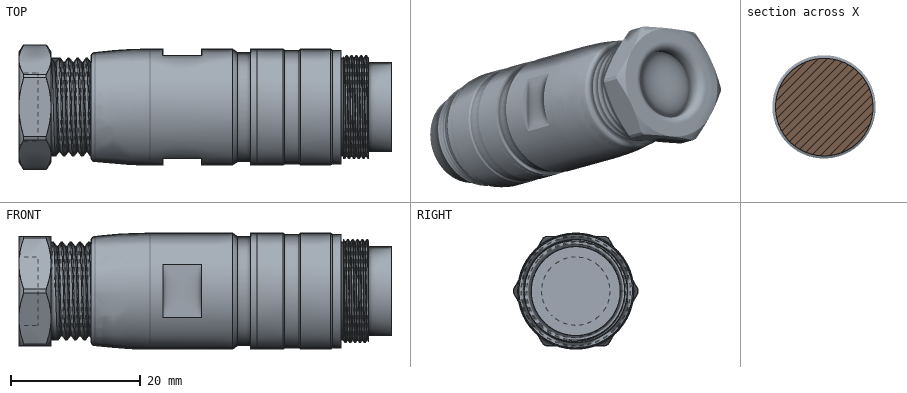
import cadquery as cq
import math

total_length = 57.8

nut_across_flats = 17.0
nut_corner_diameter = 19.3
nut_thickness = 5.0
nut_face_diameter = 17.0
nut_chamfer_length = 0.75

bore_mouth_diameter = 12.8
bore_diameter = 10.6
bore_depth = 3.0
bore_lip_radius = (bore_mouth_diameter - bore_diameter) / 2

clamp_major_diameter = 15.2
clamp_minor_diameter = 13.86
clamp_pitch = 1.41
clamp_groove_start = 5.6
clamp_overrun = 1.0
clamp_crest_width = 0.2
clamp_root_width = 0.2

body_diameter = 18.0
body_start = 11.2
nose_diameter = 16.9
nose_edge_radius = 0.6
taper_end = 20.3
body_chamfer_start = 33.1
body_end = 33.9
neck_diameter = 16.9

flats_width = 16.0
flat_start = 22.35
flat_end = 28.35

ring_start = 35.95
ring_lip_end = 36.95
ring_lip_diameter = 17.96
ring_band_end = 40.95
second_band_start = 43.7
second_band_end = 48.35
ring_end = 49.95
ring_groove_diameter = 17.6
ring_bevel_length = 0.25

mating_major_diameter = 16.0
mating_minor_diameter = 15.2
mating_pitch = 0.75
mating_crest_width = 0.1
mating_root_width = 0.1
mating_start = 50.3
mating_overrun = 0.6
mating_end = 54.2
spigot_diameter = 13.8


def cylinder(start, end, diameter):
    """Round bar along X from start to end."""
    return cq.Workplane("YZ").workplane(offset=start).circle(diameter / 2).extrude(end - start)


def cut_thread(bar, start, end, major, minor, pitch, crest_width, root_width):
    """Cut a right-handed helical groove into a bar along X; the groove starts centred on the +Y side."""
    clearance = 0.2
    major_radius = major / 2
    minor_radius = minor / 2
    root_half = root_width / 2
    mouth_half = (pitch - crest_width) / 2
    helix = cq.Wire.makeHelix(pitch, end - start, major_radius)
    groove = (
        cq.Workplane("XZ")
        .moveTo(minor_radius, -root_half)
        .lineTo(major_radius, -mouth_half)
        .lineTo(major_radius + clearance, -mouth_half)
        .lineTo(major_radius + clearance, mouth_half)
        .lineTo(major_radius, mouth_half)
        .lineTo(minor_radius, root_half)
        .close()
        .sweep(cq.Workplane(helix), isFrenet=True)
        .rotate((0, 0, 0), (0, 1, 0), 90)
        .rotate((0, 0, 0), (1, 0, 0), 90)
        .translate((start, 0, 0))
    )
    return bar.cut(groove)


def make_nut():
    """Hexagon whose corners are turned down and chamfered at both faces."""
    hexagon_diameter = nut_across_flats / math.cos(math.pi / 6)
    hexagon = cq.Workplane("YZ").polygon(6, hexagon_diameter).extrude(nut_thickness)
    face_radius = nut_face_diameter / 2
    corner_radius = nut_corner_diameter / 2
    envelope = (
        cq.Workplane("XY")
        .polyline([
            (0, 0),
            (0, face_radius),
            (nut_chamfer_length, corner_radius),
            (nut_thickness - nut_chamfer_length, corner_radius),
            (nut_thickness, face_radius),
            (nut_thickness, 0),
        ])
        .close()
        .revolve(360, (0, 0, 0), (1, 0, 0))
    )
    return hexagon.intersect(envelope)


def make_bore():
    """Blind bore whose mouth is rounded by a quarter-circle lip."""
    bore_radius = bore_diameter / 2
    mouth_radius = bore_mouth_diameter / 2
    lip_diagonal = bore_lip_radius * math.sqrt(0.5)
    return (
        cq.Workplane("XY")
        .moveTo(0, 0)
        .lineTo(0, mouth_radius)
        .threePointArc(
            (bore_lip_radius - lip_diagonal, mouth_radius - lip_diagonal),
            (bore_lip_radius, bore_radius),
        )
        .lineTo(bore_depth, bore_radius)
        .lineTo(bore_depth, 0)
        .close()
        .revolve(360, (0, 0, 0), (1, 0, 0))
    )


def make_clamp_thread():
    """Threaded bar with a short plain stretch next to the nut."""
    bar = cylinder(nut_thickness, body_start, clamp_major_diameter)
    return cut_thread(
        bar, clamp_groove_start, body_start + clamp_overrun, clamp_major_diameter, clamp_minor_diameter,
        clamp_pitch, clamp_crest_width, clamp_root_width,
    )


def make_body():
    """Body with a rounded rear edge, a curved taper, a chamfered front edge and a neck."""
    body_radius = body_diameter / 2
    nose_radius = nose_diameter / 2
    neck_radius = neck_diameter / 2
    taper_start = body_start + nose_edge_radius
    edge_offset = nose_edge_radius * (1 - math.sqrt(0.5))
    taper_length = taper_end - taper_start
    taper_drop = body_radius - nose_radius
    arc_radius = (taper_length**2 + taper_drop**2) / (2 * taper_drop)
    half_angle = math.asin(taper_length / arc_radius) / 2
    taper_middle = (
        taper_end - arc_radius * math.sin(half_angle),
        body_radius - arc_radius * (1 - math.cos(half_angle)),
    )
    return (
        cq.Workplane("XY")
        .moveTo(taper_end, body_radius)
        .lineTo(body_chamfer_start, body_radius)
        .lineTo(body_end, neck_radius)
        .lineTo(ring_start, neck_radius)
        .lineTo(ring_start, 0)
        .lineTo(body_start, 0)
        .lineTo(body_start, nose_radius - nose_edge_radius)
        .threePointArc(
            (body_start + edge_offset, nose_radius - edge_offset),
            (taper_start, nose_radius),
        )
        .threePointArc(taper_middle, (taper_end, body_radius))
        .close()
        .revolve(360, (0, 0, 0), (1, 0, 0))
    )


def cut_wrench_flats(body):
    """Two opposite flats facing -Y and +Y."""
    cut_depth = (body_diameter - flats_width) / 2
    flat_length = flat_end - flat_start
    for side in (-1, 1):
        cutter = cq.Workplane("XY").box(flat_length, cut_depth, body_diameter)
        offset = side * (flats_width + cut_depth) / 2
        body = body.cut(cutter.translate(((flat_start + flat_end) / 2, offset, 0)))
    return body


def make_coupling_ring():
    """Ring with two raised bands; the shallow grooves beside them have bevelled walls."""
    lip_radius = ring_lip_diameter / 2
    band_radius = body_diameter / 2
    groove_radius = ring_groove_diameter / 2
    return (
        cq.Workplane("XY")
        .polyline([
            (ring_start, 0),
            (ring_start, lip_radius),
            (ring_lip_end, lip_radius),
            (ring_lip_end, band_radius),
            (ring_band_end, band_radius),
            (ring_band_end + ring_bevel_length, groove_radius),
            (second_band_start - ring_bevel_length, groove_radius),
            (second_band_start, band_radius),
            (second_band_end, band_radius),
            (second_band_end + ring_bevel_length, groove_radius),
            (ring_end, groove_radius),
            (ring_end, 0),
        ])
        .close()
        .revolve(360, (0, 0, 0), (1, 0, 0))
    )


def make_mating_end():
    """Thread relief, fine thread and plain spigot."""
    relief = cylinder(ring_end, mating_start, mating_minor_diameter)
    bar = cylinder(mating_start, mating_end, mating_major_diameter)
    thread = cut_thread(
        bar, mating_start - mating_overrun, mating_end + mating_overrun, mating_major_diameter,
        mating_minor_diameter, mating_pitch, mating_crest_width, mating_root_width,
    )
    spigot = cylinder(mating_end, total_length, spigot_diameter)
    return relief.union(thread).union(spigot)


result = (
    make_nut()
    .union(make_clamp_thread())
    .union(cut_wrench_flats(make_body()))
    .union(make_coupling_ring())
    .union(make_mating_end())
    .cut(make_bore())
)